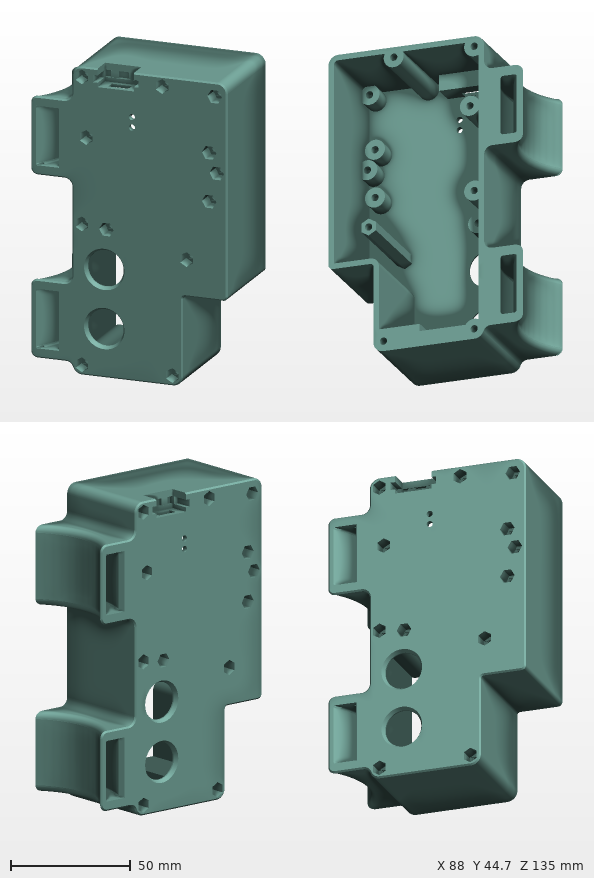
import cadquery as cq
import math

WIDTH = 88.0
HEIGHT = 135.0
DEPTH = 44.0
WALL = 2.4
BODY_LEFT = 18.5
CORNER_RADIUS = 4.5
FRONT_CHAMFER = 0.7
FRONT_LIP = 0.8

STEP_X = 67.9
STEP_Z = 39.7
STEP_OUTER_RADIUS = 2.0
STEP_INNER_RADIUS = 1.4

SADDLE_BOTTOMS = (5.1, 85.3)
SADDLE_HEIGHT = 34.4
SADDLE_ROOT_RADIUS = 3.6
SADDLE_EDGE_RADIUS = 3.0
TUBE_RADIUS = 33.1
TUBE_X = -24.3
TUBE_Y = 23.0

STRAP_SKIN = 2.2
STRAP_GAP = 6.0
STRAP_MARGIN = 4.2
STRAP_LENGTH = SADDLE_HEIGHT - 2 * STRAP_MARGIN
STRAP_MOUTH_LEFT = 2.7
STRAP_MOUTH_RIGHT = 12.7
STRAP_MOUTH_DEPTH = 2.7
STRAP_EDGE_RADIUS = 1.0

NUT_CORNERS = 6.5
NUT_DEPTH = 6.8
POINT_UP = 90
POINT_SIDEWAYS = 0
SCREW_DIAMETER = 3.2
BRIDGE_STEP = 0.3
BOSS_DIAMETER = 2 * CORNER_RADIUS
MOUNT_BOSS_LENGTH = 10.8
BOSS_LEFT = BODY_LEFT + CORNER_RADIUS
BOSS_TOP = HEIGHT - CORNER_RADIUS
LID_SCREWS = (
    (BOSS_LEFT, CORNER_RADIUS),
    (STEP_X - CORNER_RADIUS, CORNER_RADIUS),
    (BOSS_LEFT, 66.2),
    (24.8, 104.2),
    (BOSS_LEFT, BOSS_TOP),
    (58.9, BOSS_TOP),
)
MOUNT_SCREWS = (
    (33.9, 65.0),
    (79.9, 82.6),
    (83.3, 95.3),
    (79.9, 104.0),
    (82.4, 128.8),
)

POST_PLACE = (69.8, 56.0)
POST_CORNERS = 7.5
POST_END = 44.7

SENSOR_X = 33.0
SENSOR_HEIGHTS = (21.5, 47.4)
SENSOR_MOUTH_DIAMETER = 18.1
SENSOR_DIAMETER = 16.0
SENSOR_TAPER_DEPTH = 1.8
LIGHT_X = 45.4
LIGHT_HEIGHTS = (111.0, 115.5)
LIGHT_DIAMETER = 2.7

RECESS_LEFT = 30.0
RECESS_WIDTH = 16.2
RECESS_HEIGHT = 8.1
RECESS_DEPTH = 8.6
GROOVE_WIDTH = 20.2
GROOVE_TOP = 3.0
GROOVE_HEIGHT = 3.2
GROOVE_SIDE_DEPTH = 7.8
GROOVE_DEPTH = 8.9
SOCKET_LUG_SPAN = 11.3
SOCKET_MIDDLE_WIDTH = 4.7
SOCKET_DEPTH = 10.3
LEDGE_THICKNESS = 1.4
CABLE_LEFT = 33.8
CABLE_WIDTH = 9.0
CABLE_FRONT = 2.5
CABLE_DEPTH = 4.0

FLOOR_LOW = 6.8
FLOOR_HIGH = 10.0
FLOOR_STEP_X = 47.2


def box(x, y, z, width, depth, height):
    """Box from its lowest corner."""
    return cq.Workplane("XY").box(width, depth, height, centered=False).translate((x, y, z))


def rod(place, diameter, start, end):
    """Cylinder along Y, at an (X, Z) place."""
    return (
        cq.Workplane("XZ", origin=(place[0], start, place[1]))
        .circle(diameter / 2)
        .extrude(start - end)
    )


def hexagon(place, corners, start, end, turn):
    """Hexagonal prism along Y, turned about its own axis."""
    return (
        cq.Workplane("XZ", origin=(place[0], start, place[1]))
        .transformed(rotate=(0, 0, turn))
        .polygon(6, corners)
        .extrude(start - end)
    )


def rounded_outline(corners):
    """Closed outline in the XZ plane from corners given as (x, z, radius)."""
    arcs = []
    for i, (x, z, radius) in enumerate(corners):
        here = cq.Vector(x, z)
        before = (cq.Vector(*corners[i - 1][:2]) - here).normalized()
        after = (cq.Vector(*corners[(i + 1) % len(corners)][:2]) - here).normalized()
        half_angle = before.getAngle(after) / 2
        tangent = radius / math.tan(half_angle)
        to_middle = radius / math.sin(half_angle) - radius
        middle = here + (before + after).normalized() * to_middle
        arcs.append((here + before * tangent, middle, here + after * tangent))
    outline = cq.Workplane("XZ").moveTo(*arcs[0][0].toTuple()[:2])
    for i, (start, middle, end) in enumerate(arcs):
        if i:
            outline = outline.lineTo(*start.toTuple()[:2])
        if corners[i][2]:
            outline = outline.threePointArc(middle.toTuple()[:2], end.toTuple()[:2])
    return outline.close()


BODY_CORNERS = [
    (STEP_X, 0, CORNER_RADIUS),
    (STEP_X, STEP_Z, STEP_INNER_RADIUS),
    (WIDTH, STEP_Z, STEP_OUTER_RADIUS),
    (WIDTH, HEIGHT, CORNER_RADIUS),
    (BODY_LEFT, HEIGHT, CORNER_RADIUS),
]

SLOPE_TOP = (17.8, SADDLE_BOTTOMS[0], 3.4)
SLOPE_FOOT = (20.0, 0, 4.3)


def case_outline(saddle_corner_radius):
    """Outline of the body together with both saddle blocks."""
    low, high = SADDLE_BOTTOMS
    root = SADDLE_ROOT_RADIUS
    saddles = [
        (BODY_LEFT, high + SADDLE_HEIGHT, root),
        (0, high + SADDLE_HEIGHT, saddle_corner_radius),
        (0, high, saddle_corner_radius),
        (BODY_LEFT, high, root),
        (BODY_LEFT, low + SADDLE_HEIGHT, root),
        (0, low + SADDLE_HEIGHT, saddle_corner_radius),
        (0, low, saddle_corner_radius),
    ]
    return rounded_outline([SLOPE_FOOT] + BODY_CORNERS + saddles + [SLOPE_TOP])


def outer_block():
    """Solid body with tube-shaped saddle blocks behind a thin chamfered front lip."""
    lip = case_outline(SADDLE_EDGE_RADIUS).extrude(-FRONT_LIP)
    lip = lip.faces("<Y").chamfer(FRONT_CHAMFER)
    tube = cq.Workplane("XY").center(TUBE_X, TUBE_Y).circle(TUBE_RADIUS).extrude(HEIGHT)
    block = case_outline(0).extrude(FRONT_LIP - DEPTH).translate((0, FRONT_LIP, 0)).cut(tube)
    block = (
        block.edges("%CIRCLE")
        .filter(lambda edge: math.isclose(edge.radius(), TUBE_RADIUS))
        .fillet(SADDLE_EDGE_RADIUS)
    )
    return lip.union(block)


def interior():
    """Cavity behind the front plate, open at the back."""
    body = rounded_outline([(BODY_LEFT, 0, CORNER_RADIUS)] + BODY_CORNERS)
    cavity = body.offset2D(-WALL).extrude(-DEPTH).translate((0, WALL, 0))
    cavity = cavity.cut(box(0, 0, 0, WIDTH, 2 * DEPTH, FLOOR_LOW))
    return cavity.cut(box(FLOOR_STEP_X, 0, 0, WIDTH, 2 * DEPTH, FLOOR_HIGH))


def bosses():
    """Screw bosses and the housing of the connector recess, inside the cavity."""
    solid = hexagon(POST_PLACE, POST_CORNERS, 0, POST_END, POINT_UP)
    for place in LID_SCREWS:
        solid = solid.union(rod(place, BOSS_DIAMETER, WALL, DEPTH))
    for place in MOUNT_SCREWS:
        solid = solid.union(rod(place, BOSS_DIAMETER, WALL, MOUNT_BOSS_LENGTH))
    housing_left = RECESS_LEFT + (RECESS_WIDTH - GROOVE_WIDTH) / 2 - WALL
    housing_bottom = HEIGHT - RECESS_HEIGHT - LEDGE_THICKNESS
    housing = box(
        housing_left,
        WALL,
        housing_bottom,
        GROOVE_WIDTH + 2 * WALL,
        SOCKET_DEPTH,
        HEIGHT - WALL - housing_bottom,
    )
    return solid.union(housing)


def screw_cut(place, turn):
    """Nut pocket whose floor steps from the hexagon through a slot and a square to a round hole."""
    cut = hexagon(place, NUT_CORNERS, 0, NUT_DEPTH, turn)
    flats = NUT_CORNERS * math.cos(math.radians(30))
    size = SCREW_DIAMETER
    slot = box(place[0] - flats / 2, 0, place[1] - size / 2, flats, NUT_DEPTH + BRIDGE_STEP, size)
    slot = slot.intersect(hexagon(place, NUT_CORNERS, 0, NUT_DEPTH + BRIDGE_STEP, turn))
    square = box(
        place[0] - size / 2, 0, place[1] - size / 2, size, NUT_DEPTH + 2 * BRIDGE_STEP, size
    )
    return cut.union(slot).union(square).union(rod(place, size, 0, POST_END))


def strap_slot(bottom):
    """Curved strap passage with rounded long edges and a bevelled mouth at the front."""
    left_radius = TUBE_RADIUS + STRAP_SKIN
    right_radius = left_radius + STRAP_GAP
    ring = (
        cq.Workplane("XY", origin=(TUBE_X, TUBE_Y, bottom + STRAP_MARGIN))
        .circle(right_radius)
        .circle(left_radius)
        .extrude(STRAP_LENGTH)
        .edges()
        .fillet(STRAP_EDGE_RADIUS)
    )
    passage = ring.intersect(box(0, 0, 0, BODY_LEFT, DEPTH, HEIGHT))
    half_chord = TUBE_Y - STRAP_MOUTH_DEPTH
    throat_left = TUBE_X + math.sqrt(left_radius**2 - half_chord**2)
    throat_right = TUBE_X + math.sqrt(right_radius**2 - half_chord**2)
    mouth = (
        cq.Workplane("XY", origin=(0, 0, bottom + STRAP_MARGIN))
        .moveTo(STRAP_MOUTH_LEFT, 0)
        .lineTo(STRAP_MOUTH_RIGHT, 0)
        .lineTo(throat_right, STRAP_MOUTH_DEPTH)
        .lineTo(throat_left, STRAP_MOUTH_DEPTH)
        .close()
        .extrude(STRAP_LENGTH)
    )
    return passage.union(mouth)


def sensor_opening(height):
    """Round opening through the front plate, narrowing towards the inside."""
    taper = (
        cq.Workplane("XZ", origin=(SENSOR_X, 0, height))
        .circle(SENSOR_MOUTH_DIAMETER / 2)
        .workplane(offset=-SENSOR_TAPER_DEPTH)
        .circle(SENSOR_DIAMETER / 2)
        .loft(ruled=True)
    )
    return taper.union(rod((SENSOR_X, height), SENSOR_DIAMETER, SENSOR_TAPER_DEPTH, WALL))


def connector_cut():
    """Recess, board groove, stepped socket and cable hole."""
    middle = RECESS_LEFT + RECESS_WIDTH / 2
    floor = HEIGHT - RECESS_HEIGHT
    groove_bottom = HEIGHT - GROOVE_TOP - GROOVE_HEIGHT
    cut = box(RECESS_LEFT, 0, floor, RECESS_WIDTH, RECESS_DEPTH, RECESS_HEIGHT)
    steps = (
        (GROOVE_WIDTH, GROOVE_SIDE_DEPTH),
        (RECESS_WIDTH, GROOVE_DEPTH),
        (SOCKET_MIDDLE_WIDTH, SOCKET_DEPTH),
    )
    for width, depth in steps:
        cut = cut.union(box(middle - width / 2, 0, groove_bottom, width, depth, GROOVE_HEIGHT))
    lug_width = (RECESS_WIDTH - SOCKET_LUG_SPAN) / 2
    for left in (RECESS_LEFT, RECESS_LEFT + RECESS_WIDTH - lug_width):
        cut = cut.union(box(left, 0, groove_bottom, lug_width, SOCKET_DEPTH, GROOVE_HEIGHT))
    ledge_bottom = floor - LEDGE_THICKNESS
    cable = box(
        CABLE_LEFT, CABLE_FRONT, ledge_bottom, CABLE_WIDTH, CABLE_DEPTH, LEDGE_THICKNESS
    )
    return cut.union(cable)


def build_case():
    case = outer_block().cut(interior()).union(bosses())
    for place in LID_SCREWS + (POST_PLACE,):
        case = case.cut(screw_cut(place, POINT_UP))
    for place in MOUNT_SCREWS:
        case = case.cut(screw_cut(place, POINT_SIDEWAYS))
    for bottom in SADDLE_BOTTOMS:
        case = case.cut(strap_slot(bottom))
    for height in SENSOR_HEIGHTS:
        case = case.cut(sensor_opening(height))
    for height in LIGHT_HEIGHTS:
        case = case.cut(rod((LIGHT_X, height), LIGHT_DIAMETER, 0, WALL))
    return case.cut(connector_cut())


result = build_case()